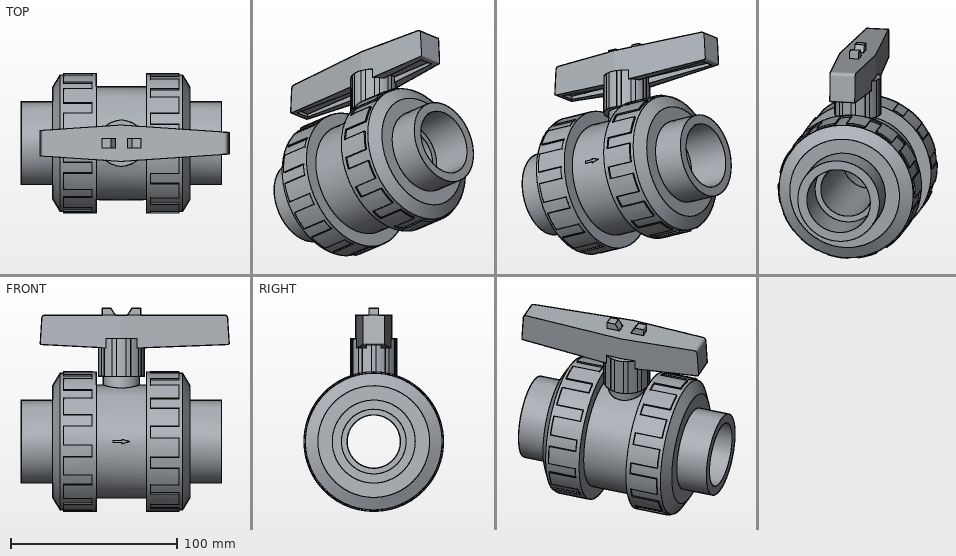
import cadquery as cq
import math

PIPE_LENGTH = 120.6
PIPE_DIAMETER = 50.0
BORE_DIAMETER = 32.0
SOCKET_DIAMETER = 39.0
SOCKET_DEPTH = 26.0
BODY_DIAMETER = 68.1

NUT_INNER_X = 15.0
NUT_OUTER_X = 41.3
NUT_DIAMETER = 84.0
NUT_ROOT_DIAMETER = 82.3
NUT_FACE_DIAMETER = 67.3
NUT_CONE_LENGTH = 4.5
COLLAR_WIDTH = 2.6
PAD_LENGTH = 17.0
PAD_COUNT = 14
PAD_ANGLE = 16.0
FIRST_PAD_ANGLE = 5.0

ARROW_LENGTH = 9.9
ARROW_HEAD_LENGTH = 4.6
ARROW_HEAD_WIDTH = 2.8
ARROW_SHAFT_WIDTH = 1.4
ARROW_HEIGHT = 0.19
ARROW_ROOT = 0.6

NECK_DIAMETER = 21.9
HUB_DIAMETER = 27.8
HUB_BOTTOM_Z = 39.2
HUB_TOP_Z = 62.0
FLUTE_COUNT = 10
FLUTE_ANGLE = 12.0
FLUTE_DEPTH = 0.1

HANDLE_TOP_Z = 76.2
HANDLE_TIP_Z = 58.4
HANDLE_LOW_Z = 55.9
HANDLE_LEFT_X = -49.0
HANDLE_RIGHT_X = 65.0
HANDLE_RIDGE_X = -0.4
HANDLE_WIDTH = 21.9
HANDLE_SIDE_TAPER = 0.068
HANDLE_END_DRAFT = 1.1
HANDLE_TOP_RADIUS = 2.0
HANDLE_BOTTOM_RADIUS = 1.0
CHANNEL_WIDTH = 8.6
CHANNEL_ROOF_Z = 60.1
CHANNEL_END_WALL = 3.8

OVERALL_HEIGHT = 122.4
LUG_WIDTH = 5.8
LUG_OUTER_X = 11.6
LUG_TOP_INNER_X = 6.4
LUG_BASE_INNER_X = 3.6
LUG_EDGE_RADIUS = 0.4

CUT_MARGIN = 1.3


def x_cylinder(diameter, x_start, x_end):
    """Cylinder along the flow axis."""
    return cq.Workplane("YZ", origin=(x_start, 0, 0)).circle(diameter / 2).extrude(x_end - x_start)


def ring_sector(inner_radius, outer_radius, centre_angle, arc_angle):
    """Closed outline of one sector of a ring on an XY workplane."""
    def point(radius, offset):
        angle = math.radians(centre_angle + offset)
        return radius * math.cos(angle), radius * math.sin(angle)

    half = arc_angle / 2
    return (
        cq.Workplane("XY")
        .moveTo(*point(inner_radius, -half))
        .lineTo(*point(outer_radius, -half))
        .threePointArc(point(outer_radius, 0), point(outer_radius, half))
        .lineTo(*point(inner_radius, half))
        .threePointArc(point(inner_radius, 0), point(inner_radius, -half))
        .close()
    )


def make_nut():
    """Union nut on the -X side: cone, root cylinder, collar and grip pads."""
    root_radius = NUT_ROOT_DIAMETER / 2
    collar_x = -NUT_INNER_X - COLLAR_WIDTH
    pad_x = collar_x - PAD_LENGTH
    core = (
        cq.Workplane("XY")
        .polyline([
            (-NUT_OUTER_X, 0),
            (-NUT_OUTER_X, NUT_FACE_DIAMETER / 2),
            (-NUT_OUTER_X + NUT_CONE_LENGTH, root_radius),
            (collar_x + COLLAR_WIDTH / 2, root_radius),
            (collar_x + COLLAR_WIDTH / 2, 0),
        ])
        .close()
        .revolve(360, (0, 0, 0), (1, 0, 0))
    )
    pad_ring = x_cylinder(NUT_DIAMETER, pad_x, -NUT_INNER_X)
    pitch = 360 / PAD_COUNT
    first_gap_angle = -90 - FIRST_PAD_ANGLE - pitch / 2
    for index in range(PAD_COUNT):
        gap_angle = first_gap_angle - index * pitch
        gap = (
            ring_sector(
                root_radius - CUT_MARGIN, NUT_DIAMETER / 2 + CUT_MARGIN, gap_angle, pitch - PAD_ANGLE
            )
            .extrude(PAD_LENGTH)
            .rotate((0, 0, 0), (0, 1, 0), 90)
            .translate((pad_x, 0, 0))
        )
        pad_ring = pad_ring.cut(gap)
    return pad_ring.union(core)


def make_stem():
    """Round neck rising from the body into a fluted hub."""
    hub_radius = HUB_DIAMETER / 2
    neck = cq.Workplane("XY").circle(NECK_DIAMETER / 2).extrude(HUB_BOTTOM_Z)
    hub = cq.Workplane("XY").circle(hub_radius).extrude(HUB_TOP_Z - HUB_BOTTOM_Z)
    pitch = 360 / FLUTE_COUNT
    for index in range(FLUTE_COUNT):
        flute = ring_sector(hub_radius - FLUTE_DEPTH, hub_radius + CUT_MARGIN, index * pitch, FLUTE_ANGLE)
        hub = hub.cut(flute.extrude(HUB_TOP_Z - HUB_BOTTOM_Z))
    return neck.union(hub.translate((0, 0, HUB_BOTTOM_Z)))


def tip_edge_zone(tip_x):
    """Opposite corners of a small box around the middle of a lower tip edge."""
    reach = 0.1
    return (
        (tip_x - reach, -reach, HANDLE_TIP_Z - reach),
        (tip_x + reach, reach, HANDLE_TIP_Z + reach),
    )


def make_handle():
    """Lever: side outline limited to a diamond-shaped plan, with a groove underneath."""
    side = (
        cq.Workplane("XZ")
        .polyline([
            (HANDLE_LEFT_X, HANDLE_TIP_Z),
            (HANDLE_RIDGE_X, HANDLE_LOW_Z),
            (HANDLE_RIGHT_X, HANDLE_TIP_Z),
            (HANDLE_RIGHT_X - HANDLE_END_DRAFT, HANDLE_TOP_Z),
            (HANDLE_LEFT_X + HANDLE_END_DRAFT, HANDLE_TOP_Z),
        ])
        .close()
        .extrude(HANDLE_WIDTH / 2, both=True)
        .edges("|Y and >Z")
        .fillet(HANDLE_TOP_RADIUS)
        .edges(cq.selectors.BoxSelector(*tip_edge_zone(HANDLE_LEFT_X)))
        .fillet(HANDLE_BOTTOM_RADIUS)
        .edges(cq.selectors.BoxSelector(*tip_edge_zone(HANDLE_RIGHT_X)))
        .fillet(HANDLE_BOTTOM_RADIUS)
    )
    half_width = HANDLE_WIDTH / 2
    left_half = half_width - HANDLE_SIDE_TAPER * (HANDLE_RIDGE_X - HANDLE_LEFT_X)
    right_half = half_width - HANDLE_SIDE_TAPER * (HANDLE_RIGHT_X - HANDLE_RIDGE_X)
    plan = (
        cq.Workplane("XY")
        .polyline([
            (HANDLE_LEFT_X, -left_half),
            (HANDLE_RIDGE_X, -half_width),
            (HANDLE_RIGHT_X, -right_half),
            (HANDLE_RIGHT_X, right_half),
            (HANDLE_RIDGE_X, half_width),
            (HANDLE_LEFT_X, left_half),
        ])
        .close()
        .extrude(HANDLE_TOP_Z)
    )
    channel_left = HANDLE_LEFT_X + CHANNEL_END_WALL
    channel_right = HANDLE_RIGHT_X - CHANNEL_END_WALL
    channel = cq.Workplane("XY").box(
        channel_right - channel_left, CHANNEL_WIDTH, CHANNEL_ROOF_Z, centered=(False, True, False)
    ).translate((channel_left, 0, 0))
    return side.intersect(plan).cut(channel)


def make_lug():
    """Index lug on top of the handle, on the +X side."""
    lug_top_z = OVERALL_HEIGHT - NUT_DIAMETER / 2
    return (
        cq.Workplane("XZ")
        .polyline([
            (LUG_BASE_INNER_X, HANDLE_TOP_Z),
            (LUG_OUTER_X, HANDLE_TOP_Z),
            (LUG_OUTER_X, lug_top_z),
            (LUG_TOP_INNER_X, lug_top_z),
        ])
        .close()
        .extrude(LUG_WIDTH / 2, both=True)
        .edges("|Y and >Z and >X")
        .fillet(LUG_EDGE_RADIUS)
    )


def make_flow_arrow():
    """Raised arrow pointing to +X on the -Y side of the body, rooted below its surface."""
    tip_x = ARROW_LENGTH / 2
    head_x = tip_x - ARROW_HEAD_LENGTH
    shaft = ARROW_SHAFT_WIDTH / 2
    head = ARROW_HEAD_WIDTH / 2
    root_y = -BODY_DIAMETER / 2 + ARROW_ROOT
    return (
        cq.Workplane("XZ", origin=(0, root_y, 0))
        .polyline([
            (-tip_x, -shaft),
            (head_x, -shaft),
            (head_x, -head),
            (tip_x, 0),
            (head_x, head),
            (head_x, shaft),
            (-tip_x, shaft),
        ])
        .close()
        .extrude(ARROW_ROOT + ARROW_HEIGHT)
    )


half_pipe = PIPE_LENGTH / 2
body_end = NUT_INNER_X + COLLAR_WIDTH
nut = make_nut()
lug = make_lug()

valve = x_cylinder(PIPE_DIAMETER, -half_pipe, half_pipe)
valve = valve.union(x_cylinder(BODY_DIAMETER, -body_end, body_end))
valve = valve.union(nut).union(nut.rotate((0, 0, 0), (0, 0, 1), 180))
valve = valve.union(make_stem()).union(make_handle())
valve = valve.union(lug).union(lug.mirror("YZ")).union(make_flow_arrow())

valve = valve.cut(x_cylinder(BORE_DIAMETER, -half_pipe, half_pipe))
valve = valve.cut(x_cylinder(SOCKET_DIAMETER, -half_pipe, SOCKET_DEPTH - half_pipe))
result = valve.cut(x_cylinder(SOCKET_DIAMETER, half_pipe - SOCKET_DEPTH, half_pipe))